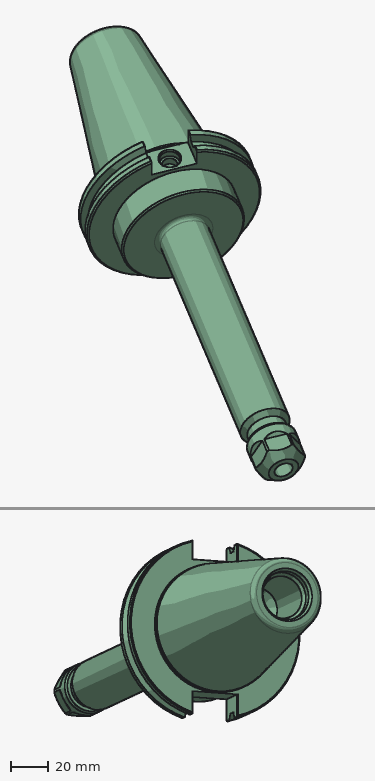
import cadquery as cq
import math

total_length = 310.5
taper_length = 101.5
flange_start = 105.0
flange_width = 15.8
hub_end = 136.5
shank_end = 278.0
nut_start = 287.7

flange_end = flange_start + flange_width
flange_middle = flange_start + flange_width / 2

gauge_diameter = 69.8
taper_ratio = 7 / 24
small_end_diameter = gauge_diameter - taper_ratio * taper_length
small_end_round = 2.8
relief_diameter = 69.2
relief_side_length = 1.0
hub_diameter = relief_diameter
hub_chamfer = 1.0
shank_diameter = 28.0
shank_root_fillet = 2.5
neck_diameter = 22.0

flange_diameter = 98.0
flange_back_chamfer = 1.0
flange_front_chamfer = 0.5
groove_floor_width = 4.0
groove_depth = 3.5
groove_side_angle = 30.0

slot_width = 25.5
slot_rim_chamfer = 0.3
upper_slot_floor = 37.0
lower_slot_floor = 35.0

slot_hole_mouth_diameter = 12.5
slot_hole_step_diameter = 11.2
slot_hole_diameter = 8.0
slot_hole_mouth_depth = 1.0
slot_hole_step_depth = 4.7
slot_hole_depth = 9.3
drill_point_angle = 118.0

drawbar_mouth_diameter = 29.0
drawbar_recess_diameter = 26.5
drawbar_thread_diameter = 23.0
drawbar_mouth_depth = 2.0
drawbar_recess_depth = 6.0
drawbar_depth = 43.5
bore_diameter = 12.7

nut_diameter = 28.0
nut_back_diameter = 26.0
nut_back_chamfer_length = 1.5
nut_front_diameter = 16.8
nut_across_flats = 24.8
nut_cone_start = 304.8
nut_flat_count = 6
nut_flat_start = 296.7
nut_ramp_length = 2.2
nut_bore_diameter = 10.2


def turned(points):
    """Revolve a closed (x, radius) outline about the X axis."""
    outline = cq.Workplane("XY").polyline(points).close()
    return outline.revolve(360, (0, 0, 0), (1, 0, 0))


def cylinder(start, end, diameter):
    return cq.Workplane("YZ", origin=(start, 0, 0)).circle(diameter / 2).extrude(end - start)


def taper():
    cone = turned([
        (0, 0),
        (0, small_end_diameter / 2),
        (taper_length, gauge_diameter / 2),
        (taper_length, 0),
    ])
    return cone.faces("<X").edges().fillet(small_end_round)


def relief():
    """Shallow groove with sloping sides between the taper and the flange."""
    return turned([
        (taper_length, 0),
        (taper_length, gauge_diameter / 2),
        (taper_length + relief_side_length, relief_diameter / 2),
        (flange_start - relief_side_length, relief_diameter / 2),
        (flange_start, gauge_diameter / 2),
        (flange_start, 0),
    ])


def v_groove():
    rim = flange_diameter / 2
    floor_half = groove_floor_width / 2
    mouth_half = floor_half + groove_depth * math.tan(math.radians(groove_side_angle))
    return turned([
        (flange_middle - mouth_half, rim),
        (flange_middle - floor_half, rim - groove_depth),
        (flange_middle + floor_half, rim - groove_depth),
        (flange_middle + mouth_half, rim),
    ])


def drive_slot(floor, side):
    """Slot through the flange; side is +1 for the top and -1 for the bottom."""
    height = flange_diameter / 2
    middle = side * (floor + height / 2)
    slot = cq.Workplane("XY").box(flange_width, slot_width, height)
    return slot.translate((flange_middle, 0, middle))


def slot_hole():
    mouth_floor = upper_slot_floor - slot_hole_mouth_depth
    step_floor = upper_slot_floor - slot_hole_step_depth
    bottom = upper_slot_floor - slot_hole_depth
    hole_radius = slot_hole_diameter / 2
    point = hole_radius / math.tan(math.radians(drill_point_angle / 2))
    outline = cq.Workplane("XZ", origin=(flange_middle, 0, 0)).polyline([
        (0, upper_slot_floor),
        (slot_hole_mouth_diameter / 2, upper_slot_floor),
        (slot_hole_step_diameter / 2, mouth_floor),
        (slot_hole_step_diameter / 2, step_floor),
        (hole_radius, step_floor),
        (hole_radius, bottom),
        (0, bottom - point),
    ]).close()
    return outline.revolve(360, (0, 0, 0), (0, 1, 0))


def flange():
    """Grooved disc with broken edges, two drive slots and the hole in the upper slot."""
    disc = cylinder(flange_start, flange_end, flange_diameter)
    disc = disc.faces(">X").edges().chamfer(flange_back_chamfer)
    disc = disc.cut(drive_slot(upper_slot_floor, 1))
    disc = disc.cut(drive_slot(lower_slot_floor, -1))
    rim_and_slot_sides = disc.faces("<X").edges("%CIRCLE or |Z")
    disc = rim_and_slot_sides.chamfer(flange_front_chamfer)
    disc = disc.edges("|X").edges(">Z or <Z").chamfer(slot_rim_chamfer)
    return disc.cut(v_groove()).cut(slot_hole())


def hub():
    """Collar behind the flange, chamfered at its far end."""
    return cylinder(flange_end, hub_end, hub_diameter).faces(">X").edges().chamfer(hub_chamfer)


def shank_and_neck():
    """Shank with a rounded root and a 45 degree shoulder down to the neck."""
    shank_radius = shank_diameter / 2
    neck_radius = neck_diameter / 2
    root = shank_root_fillet
    arc_offset = root * (1 - math.sqrt(0.5))
    outline = (
        cq.Workplane("XY")
        .moveTo(hub_end, 0)
        .lineTo(hub_end, shank_radius + root)
        .threePointArc(
            (hub_end + arc_offset, shank_radius + arc_offset),
            (hub_end + root, shank_radius),
        )
        .lineTo(shank_end, shank_radius)
        .lineTo(shank_end + shank_radius - neck_radius, neck_radius)
        .lineTo(nut_start, neck_radius)
        .lineTo(nut_start, 0)
        .close()
    )
    return outline.revolve(360, (0, 0, 0), (1, 0, 0))


def drawbar_hole():
    """Stepped hole with conical shoulders, continued as a bore through the neck."""
    recess_radius = drawbar_recess_diameter / 2
    thread_radius = drawbar_thread_diameter / 2
    bore_radius = bore_diameter / 2
    return turned([
        (0, 0),
        (0, drawbar_mouth_diameter / 2),
        (drawbar_mouth_depth, recess_radius),
        (drawbar_recess_depth, recess_radius),
        (drawbar_recess_depth + recess_radius - thread_radius, thread_radius),
        (drawbar_depth, thread_radius),
        (drawbar_depth + thread_radius - bore_radius, bore_radius),
        (nut_start, bore_radius),
        (nut_start, 0),
    ])


def make_holder():
    body = taper().union(relief()).union(flange()).union(hub()).union(shank_and_neck())
    return body.cut(drawbar_hole())


def nut_flat_cutter():
    """Tool for the upper flat: a level floor with a ramp up to the nut's outside."""
    floor = nut_across_flats / 2
    rim = nut_diameter / 2
    return (
        cq.Workplane("XZ")
        .polyline([
            (nut_flat_start - nut_ramp_length, rim),
            (nut_flat_start, floor),
            (total_length, floor),
            (total_length, rim),
        ])
        .close()
        .extrude(rim, both=True)
    )


def make_nut():
    """Ring against the end of the neck, with a conical nose and wrench flats."""
    rim = nut_diameter / 2
    back_radius = nut_back_diameter / 2
    front_radius = nut_front_diameter / 2
    bore_radius = nut_bore_diameter / 2
    nut = turned([
        (nut_start, bore_radius),
        (nut_start, back_radius),
        (nut_start + nut_back_chamfer_length, rim),
        (nut_cone_start, rim),
        (total_length, front_radius),
        (total_length, bore_radius),
    ])
    for flat in range(nut_flat_count):
        angle = flat * 360 / nut_flat_count
        nut = nut.cut(nut_flat_cutter().rotate((0, 0, 0), (1, 0, 0), angle))
    return nut


holder = make_holder()
nut = make_nut()
result = cq.Compound.makeCompound([holder.val(), nut.val()])